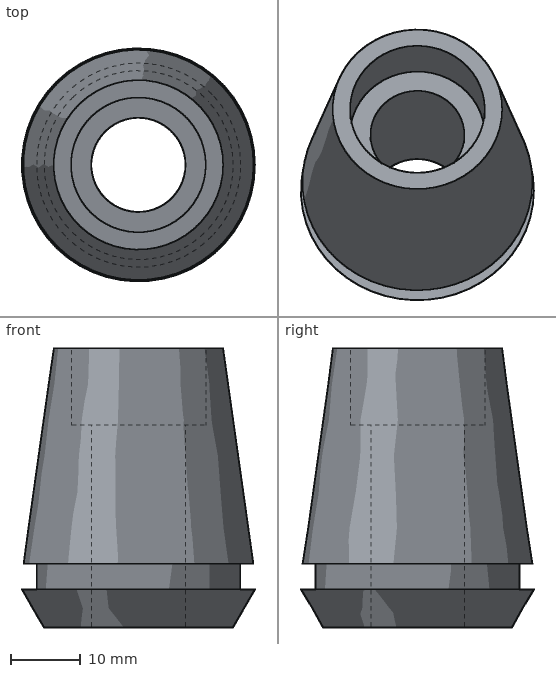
import cadquery as cq
import math

height = 40.0
flange_top = 5.5
taper_bottom = 9.1

flange_radius = 16.7
groove_radius = 14.6
top_radius = 12.1
taper_angle = 8.0
flange_angle = 30.0

hole_radius = 6.7
bore_radius = 9.65
bore_depth = 10.95

taper_bottom_radius = top_radius + (height - taper_bottom) * math.tan(math.radians(taper_angle))
bottom_radius = flange_radius - flange_top * math.tan(math.radians(flange_angle))
bore_floor = height - bore_depth

half_section = [
    (hole_radius, 0),
    (bottom_radius, 0),
    (flange_radius, flange_top),
    (groove_radius, flange_top),
    (groove_radius, taper_bottom),
    (taper_bottom_radius, taper_bottom),
    (top_radius, height),
    (bore_radius, height),
    (bore_radius, bore_floor),
    (hole_radius, bore_floor),
]

result = cq.Workplane("XZ").polyline(half_section).close().revolve(360, (0, 0, 0), (0, 1, 0))